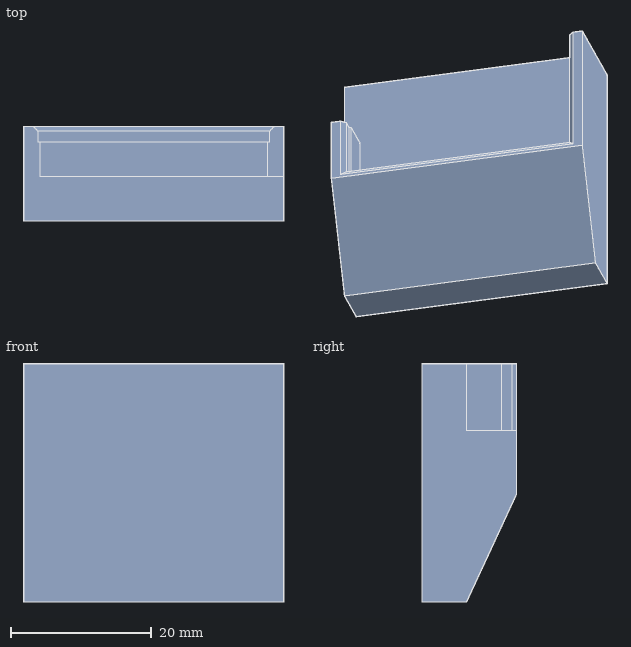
import cadquery as cq

width = 36.95
depth = 13.45
height = 33.85

plate_thickness = 6.35
taper_height = 15.3

pocket_margin = 2.33
rebate_margin = 2.05
rebate_depth = 2.18
chamfer = 0.65
pocket_floor = 16.7
rebate_step = pocket_margin - rebate_margin
rebate_floor = pocket_floor - rebate_step

short_wall_height = 24.4


def make_body():
    """Block with a rear face that slopes forward towards the bottom."""
    profile = [
        (0, 0),
        (plate_thickness, 0),
        (depth, taper_height),
        (depth, height),
        (0, height),
    ]
    return cq.Workplane("YZ").polyline(profile).close().extrude(width)


def opening_cut(margin, floor, front, back):
    """Box between the side walls, open at the top."""
    return cq.Workplane("XY").box(
        width - 2 * margin, back - front, height - floor, centered=False
    ).translate((margin, front, floor))


def make_chamfer_cut():
    """Flared mouth around the sides and floor of the rebate."""
    inner_width = width - 2 * rebate_margin
    inner_height = 2 * (height - rebate_floor)
    return (
        cq.Workplane("XZ", origin=(width / 2, depth - chamfer, height))
        .rect(inner_width, inner_height)
        .workplane(offset=-chamfer)
        .rect(inner_width + 2 * chamfer, inner_height + 2 * chamfer)
        .loft(ruled=True)
    )


def make_short_wall_cut():
    """Space above the +X wall, behind the plate."""
    return cq.Workplane("XY").box(
        width - pocket_margin, depth - plate_thickness, height - short_wall_height, centered=False
    ).translate((pocket_margin, plate_thickness, short_wall_height))


pocket = opening_cut(pocket_margin, pocket_floor, plate_thickness, depth)
rebate = opening_cut(rebate_margin, rebate_floor, depth - rebate_depth, depth)
result = (
    make_body()
    .cut(pocket)
    .cut(rebate)
    .cut(make_chamfer_cut())
    .cut(make_short_wall_cut())
)